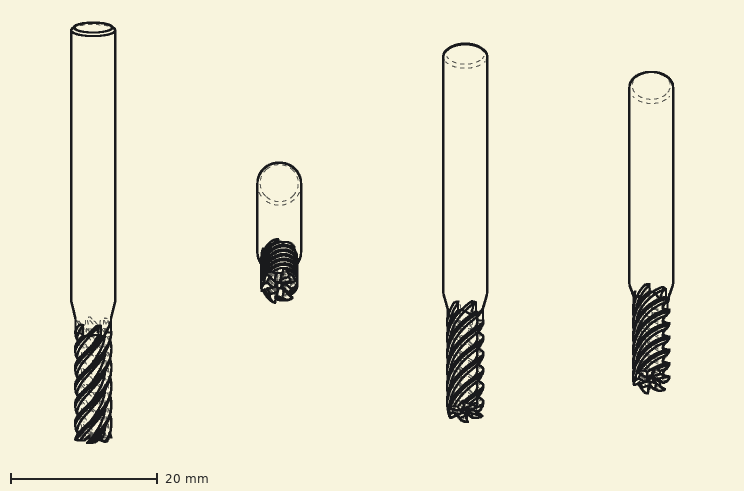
import cadquery as cq
import math

overall_length = 58.0
cutter_length = 15.0
neck_top = 17.0
shank_start = 19.3

shank_diameter = 6.0
neck_diameter = 4.9
cutter_diameter = 5.0
core_diameter = 3.3
shank_chamfer = 0.4

flute_count = 6
helix_angle = 45.0
first_tooth_angle = 0.0
runout_top = 16.5
runout_overlap = 0.3

land_angle = 10.0
land_relief = 0.06
heel_angle = 23.0
heel_radius = 2.15
flute_middle_angle = 38.0
flute_middle_radius = 1.68
rake_root_angle = 2.0

gash_depth = 0.8
gash_slope = 45.0
gash_inner_radius = 0.35
dish_depth = 0.06
dish_radius = 2.1

cutter_radius = cutter_diameter / 2
neck_radius = neck_diameter / 2
core_radius = core_diameter / 2
shank_radius = shank_diameter / 2
tooth_pitch = 360.0 / flute_count
helix_lead = math.pi * cutter_diameter / math.tan(math.radians(helix_angle))


def polar(radius, angle):
    """Point at a radius and an angle in degrees."""
    turn = math.radians(angle)
    return (radius * math.cos(turn), radius * math.sin(turn))


def twist_over(length):
    """Turn of the helix, in degrees, over an axial length."""
    return 360.0 * length / helix_lead


def fluted_bar(start_z, length):
    """Bar with helical teeth, in phase with the cutting edges at the tip."""
    phase = first_tooth_angle + twist_over(start_z)
    section = cq.Workplane("XY").workplane(offset=start_z)
    section = section.moveTo(*polar(core_radius, phase + rake_root_angle))
    for tooth in range(flute_count):
        edge = phase + tooth * tooth_pitch
        next_root = edge + tooth_pitch + rake_root_angle
        section = section.lineTo(*polar(cutter_radius, edge))
        section = section.lineTo(*polar(cutter_radius - land_relief, edge + land_angle))
        section = section.lineTo(*polar(heel_radius, edge + heel_angle))
        section = section.threePointArc(
            polar(flute_middle_radius, edge + flute_middle_angle), polar(core_radius, next_root)
        )
    return section.close().twistExtrude(length, twist_over(length))


def end_gash(angle):
    """V-shaped notch across the end face, ahead of one cutting edge."""
    gash_width = gash_depth / math.tan(math.radians(gash_slope))
    wedge = (
        cq.Workplane("YZ")
        .workplane(offset=gash_inner_radius)
        .polyline([(0, 0), (0, gash_depth), (-gash_width, 0), (-gash_width, -gash_depth), (0, -gash_depth)])
        .close()
        .extrude(cutter_radius)
    )
    return wedge.rotate((0, 0, 0), (0, 0, 1), angle)


def make_cutter():
    """Fluted cutting length with a dished, gashed end."""
    body = fluted_bar(0, cutter_length)
    dish = (
        cq.Workplane("XZ")
        .polyline([(0, 0), (dish_radius, 0), (0, dish_depth)])
        .close()
        .revolve(360, (0, 0), (0, 1))
    )
    body = body.cut(dish)
    for tooth in range(flute_count):
        body = body.cut(end_gash(first_tooth_angle + tooth * tooth_pitch))
    return body


def flute_section(start_z):
    """Cross-section of one flute at a height, reaching just outside the neck."""
    edge = first_tooth_angle + twist_over(start_z)
    return (
        cq.Workplane("XY")
        .workplane(offset=start_z)
        .moveTo(*polar(cutter_radius, edge + land_angle))
        .lineTo(*polar(heel_radius, edge + heel_angle))
        .threePointArc(
            polar(flute_middle_radius, edge + flute_middle_angle),
            polar(core_radius, edge + tooth_pitch + rake_root_angle),
        )
        .lineTo(*polar(cutter_radius, edge + tooth_pitch))
        .threePointArc(
            polar(cutter_radius, edge + (land_angle + tooth_pitch) / 2),
            polar(cutter_radius, edge + land_angle),
        )
        .close()
    )


def flute_runout():
    """End of one flute in the neck, between a helical tooth back and a straight wall."""
    length = runout_top - cutter_length
    straight = flute_section(cutter_length).extrude(length)
    helix_start = cutter_length - runout_overlap
    helix_length = length + 2 * runout_overlap
    helical = flute_section(helix_start).twistExtrude(helix_length, twist_over(helix_length))
    return straight.intersect(helical)


def make_shank():
    """Shank, conical step and neck; the flutes run out in the neck."""
    shank = (
        cq.Workplane("XZ")
        .moveTo(0, cutter_length)
        .lineTo(neck_radius, cutter_length)
        .lineTo(neck_radius, neck_top)
        .lineTo(shank_radius, shank_start)
        .lineTo(shank_radius, overall_length - shank_chamfer)
        .lineTo(shank_radius - shank_chamfer, overall_length)
        .lineTo(0, overall_length)
        .close()
        .revolve(360, (0, 0), (0, 1))
    )
    runout = flute_runout()
    for tooth in range(flute_count):
        shank = shank.cut(runout.rotate((0, 0, 0), (0, 0, 1), tooth * tooth_pitch))
    return shank


cutter = make_cutter()
shank = make_shank()

result = cq.Compound.makeCompound([shank.val(), cutter.val()])